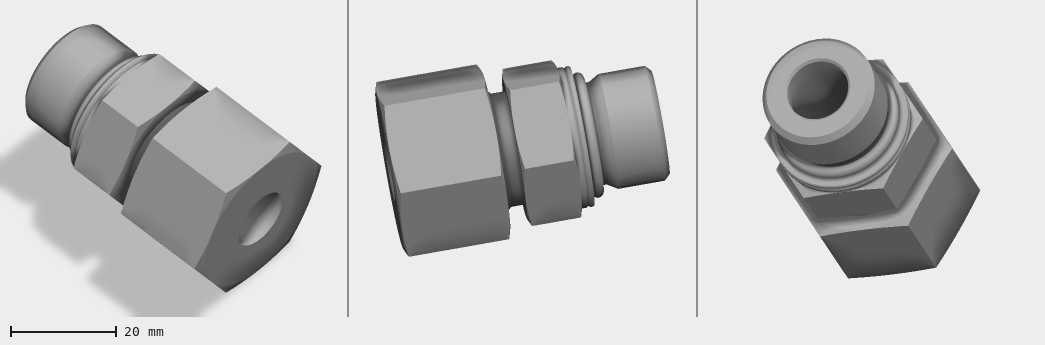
import cadquery as cq
import math


bore_radius = 6.0
bore_mouth_chamfer = 0.45

spigot_radius = 11.0
spigot_tip_chamfer = 1.1
spigot_cone_start = 10.0
spigot_cone_end = 12.0
groove_radius = 9.85

ring_section_radius = 1.1

flange_start = 15.05
flange_edge_chamfer = 0.2
v_groove_start = 15.75
v_groove_width = 0.85
v_groove_depth = 0.3

body_hex_start = 17.45
body_hex_end = 28.0
body_hex_flats = 27.0
flange_radius = body_hex_flats / 2

neck_radius = 10.85
stub_start = 30.6
stub_radius = 12.0
stub_end = 41.6

nut_start = 31.5
nut_end = 52.0
nut_flats = 30.0

hex_chamfer_angle = 15.0


def revolved(profile):
    """Revolve an (x, radius) outline about the X axis."""
    outline = [(x, -radius) for x, radius in profile]
    return cq.Workplane("XY").polyline(outline).close().revolve(360, (0, 0), (1, 0))


def cylinder(start, end, radius):
    return cq.Workplane("YZ", origin=(start, 0, 0)).circle(radius).extrude(end - start)


def chamfered_hexagon(start, end, across_flats):
    """Hexagonal prism with corners on +Y and -Y, turned conically at both ends."""
    across_corners = across_flats / math.cos(math.pi / 6)
    prism = (
        cq.Workplane("YZ", origin=(start, 0, 0))
        .polygon(6, across_corners)
        .extrude(end - start)
    )
    face_radius = across_flats / 2
    corner_radius = across_corners / 2
    cone_length = (corner_radius - face_radius) * math.tan(math.radians(hex_chamfer_angle))
    envelope = revolved([
        (start, 0),
        (start, face_radius),
        (start + cone_length, corner_radius),
        (end - cone_length, corner_radius),
        (end, face_radius),
        (end, 0),
    ])
    return prism.intersect(envelope)


def make_fitting():
    """Spigot, flange, hexagon, neck and stub in one piece, bored through."""
    spigot_and_flange = revolved([
        (0, 0),
        (0, spigot_radius - spigot_tip_chamfer),
        (spigot_tip_chamfer, spigot_radius),
        (spigot_cone_start, spigot_radius),
        (spigot_cone_end, groove_radius),
        (flange_start, groove_radius),
        (flange_start, flange_radius - flange_edge_chamfer),
        (flange_start + flange_edge_chamfer, flange_radius),
        (v_groove_start, flange_radius),
        (v_groove_start + v_groove_width / 2, flange_radius - v_groove_depth),
        (v_groove_start + v_groove_width, flange_radius),
        (body_hex_start, flange_radius),
        (body_hex_start, 0),
    ])
    hexagon = chamfered_hexagon(body_hex_start, body_hex_end, body_hex_flats)
    neck_and_stub = revolved([
        (body_hex_end, 0),
        (body_hex_end, neck_radius),
        (stub_start, neck_radius),
        (stub_start + stub_radius - neck_radius, stub_radius),
        (stub_end, stub_radius),
        (stub_end, 0),
    ])
    bore = revolved([
        (0, 0),
        (0, bore_radius + bore_mouth_chamfer),
        (bore_mouth_chamfer, bore_radius),
        (stub_end, bore_radius),
        (stub_end, 0),
    ])
    return spigot_and_flange.union(hexagon).union(neck_and_stub).cut(bore)


def make_o_ring():
    """Round-section ring resting on the groove floor and touching the flange."""
    section_x = flange_start - ring_section_radius
    centreline_radius = groove_radius + ring_section_radius
    return (
        cq.Workplane("XZ")
        .moveTo(section_x, centreline_radius)
        .circle(ring_section_radius)
        .revolve(360, (0, 0), (1, 0))
    )


def make_nut():
    """Hexagonal nut with a recess for the stub and a bore through its far end."""
    nut = chamfered_hexagon(nut_start, nut_end, nut_flats)
    recess = cylinder(nut_start, stub_end, stub_radius)
    bore = cylinder(stub_end, nut_end, bore_radius)
    return nut.cut(recess).cut(bore)


fitting = make_fitting()
o_ring = make_o_ring()
nut = make_nut()

result = cq.Compound.makeCompound([fitting.val(), o_ring.val(), nut.val()])